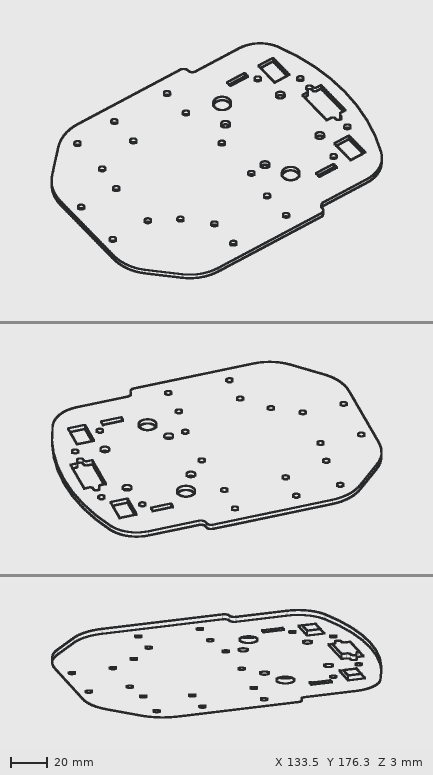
import cadquery as cq
import math

thickness = 3.0
width = 133.5
length = 176.3
half_width = width / 2

step_width = 6.0
step_y = 115.0
step_radius = step_width / 2
front_half_width = half_width - step_width
front_corner_radius = 20.0
front_corner_y = 147.8

rear_chamfer = 30.5
rear_radius = 27.0

small_diameter = 3.6
medium_diameter = 5.0
large_diameter = 10.0

window_size = (15.5, 10.0)
window_outer_x = 43.8
window_y = 153.8
slot_size = (3.2, 12.0)
slot_y = 133.4

servo_size = (23.2, 12.8)
servo_y = 162.05
servo_notch_span = 31.0
servo_notch_width = small_diameter
servo_mouth_radius = 1.6

mirrored_small_holes = [
    (22.35, servo_y),
    (36.0, 142.75),
]
single_small_holes = [
    (-8.4, 98.3),
    (19.6, 98.3),
    (24.6, 46.2),
    (-55.0, 33.1),
    (-31.5, 33.1),
]
motor_hole_centre = (47.5, 77.45)
motor_hole_spacing = (18.0, 36.0)
rear_hole_centre = (0.0, 18.8)
rear_hole_spacing = (30.0, 24.0)
medium_hole_centre = (0.0, 127.0)
medium_hole_spacing = (37.5, 37.5)
large_hole_position = (32.55, 115.9)


def plate():
    """Plate outline, symmetric about X = 0, with tangent arcs at the front."""
    corner_x = front_half_width - front_corner_radius
    rise = length - front_corner_y
    front_radius = (corner_x**2 + rise**2 - front_corner_radius**2) / (2 * (rise - front_corner_radius))
    front_centre_y = length - front_radius
    tangent_angle = math.atan2(front_corner_y - front_centre_y, corner_x)
    tangent_x = front_radius * math.cos(tangent_angle)
    tangent_y = front_centre_y + front_radius * math.sin(tangent_angle)
    corner_mid_x = corner_x + front_corner_radius * math.cos(tangent_angle / 2)
    corner_mid_y = front_corner_y + front_corner_radius * math.sin(tangent_angle / 2)

    body = (
        cq.Workplane("XY")
        .moveTo(half_width - rear_chamfer, 0)
        .lineTo(half_width, rear_chamfer)
        .lineTo(half_width, step_y - step_radius)
        .radiusArc((half_width - step_radius, step_y), -step_radius)
        .radiusArc((front_half_width, step_y + step_radius), step_radius)
        .lineTo(front_half_width, front_corner_y)
        .threePointArc((corner_mid_x, corner_mid_y), (tangent_x, tangent_y))
        .threePointArc((0, length), (-tangent_x, tangent_y))
        .threePointArc((-corner_mid_x, corner_mid_y), (-front_half_width, front_corner_y))
        .lineTo(-front_half_width, step_y + step_radius)
        .radiusArc((step_radius - half_width, step_y), step_radius)
        .radiusArc((-half_width, step_y - step_radius), -step_radius)
        .lineTo(-half_width, rear_chamfer)
        .lineTo(rear_chamfer - half_width, 0)
        .close()
        .extrude(thickness)
    )
    rear_edges = cq.selectors.BoxSelector(
        (-width, -rear_chamfer, -thickness),
        (width, rear_chamfer + step_radius, 2 * thickness),
    )
    return body.edges("|Z").edges(rear_edges).fillet(rear_radius)


def mirrored(points):
    """Points followed by their mirror images across X = 0."""
    return points + [(-x, y) for x, y in points]


def rectangle_corners(centre, spacing):
    """Four corner points of a rectangular hole pattern."""
    return [
        (centre[0] + sx * spacing[0] / 2, centre[1] + sy * spacing[1] / 2)
        for sx in (-1, 1)
        for sy in (-1, 1)
    ]


def round_cutters(points, diameter):
    """Through cutters for a set of equal round holes."""
    return cq.Workplane("XY").pushPoints(points).circle(diameter / 2).extrude(thickness)


def box_cutters(points, size):
    """Through cutters for a set of equal rectangular openings."""
    return cq.Workplane("XY").pushPoints(points).rect(*size).extrude(thickness)


def small_hole_points():
    """Centres of every small hole: mirrored pairs, rear pattern and single holes."""
    motor_holes = rectangle_corners(motor_hole_centre, motor_hole_spacing)
    rear_holes = rectangle_corners(rear_hole_centre, rear_hole_spacing)
    return mirrored(mirrored_small_holes + motor_holes) + rear_holes + single_small_holes


def servo_cutter():
    """Servo opening with a round-ended notch at each side, flared where the notch meets it."""
    opening = box_cutters([(0, servo_y)], servo_size)
    notches = (
        cq.Workplane("XY")
        .center(0, servo_y)
        .slot2D(servo_notch_span, servo_notch_width)
        .extrude(thickness)
    )
    mouth_half_span = (servo_size[0] + servo_mouth_radius) / 2
    mouth_edges = cq.selectors.BoxSelector(
        (-mouth_half_span, servo_y - servo_notch_width, -thickness),
        (mouth_half_span, servo_y + servo_notch_width, 2 * thickness),
    )
    return opening.union(notches).edges("|Z").edges(mouth_edges).fillet(servo_mouth_radius)


def outer_aligned(size, y):
    """Mirrored opening centres that put the outer sides on the shared window line."""
    return mirrored([(window_outer_x - size[0] / 2, y)])


result = (
    plate()
    .cut(round_cutters(small_hole_points(), small_diameter))
    .cut(round_cutters(rectangle_corners(medium_hole_centre, medium_hole_spacing), medium_diameter))
    .cut(round_cutters(mirrored([large_hole_position]), large_diameter))
    .cut(box_cutters(outer_aligned(window_size, window_y), window_size))
    .cut(box_cutters(outer_aligned(slot_size, slot_y), slot_size))
    .cut(servo_cutter())
)